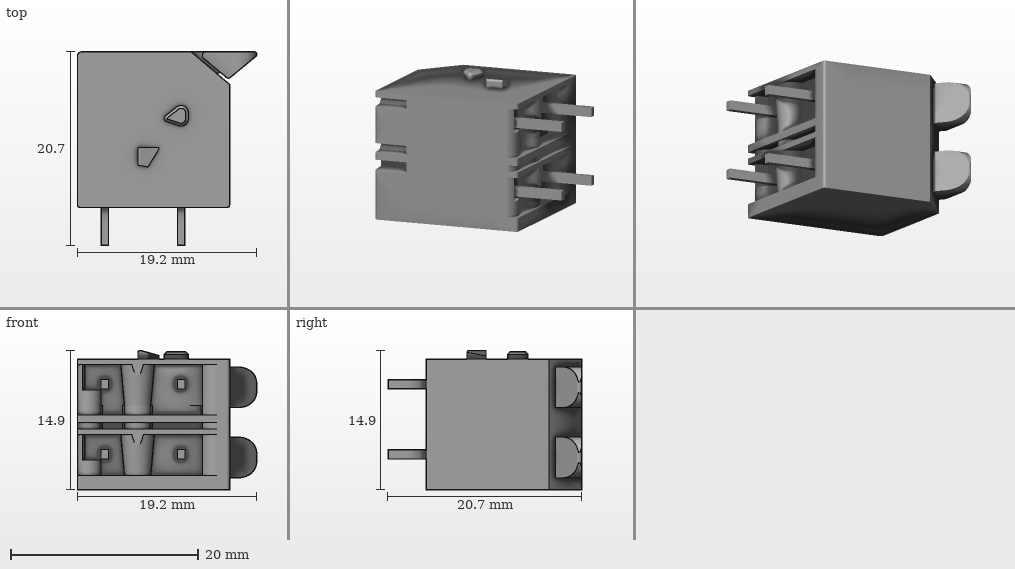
import math

import cadquery as cq


WIDTH = 16.3
DEPTH = 16.65
HEIGHT = 13.97
PITCH = 7.5
FRONT_RADIUS = 0.3
BACK_RADIUS = 0.5
BEVEL_X = 4.15
BEVEL_Y = 3.5

RECESS_DEPTH = 2.06
RECESS_RIGHT = 14.87
RECESS_BOTTOM = 1.51
RECESS_TOP = 5.9
DIVIDER_BOTTOM = 7.2
DIVIDER_TOP = 8.0
LOW_ZONE_BOTTOM = 6.5
LOW_ZONE_TOP = RECESS_BOTTOM + PITCH

COVE_START = 12.11
COVE_RADIUS = 1.27
WALL_X = 13.23

COLUMN_X = 6.45
COLUMN_Y = 1.7
COLUMN_BOTTOM_RADIUS = 1.42
COLUMN_TOP_RADIUS = 1.81
COLUMN_FOOT_WIDTH = 3.23

POST_X = 1.225
POST_Y = 1.795
POST_RADIUS = 1.325
POST_HEIGHT = 1.68
POST_FOOT_RIGHT = 2.7
STUB_FRONT_X = 0.58
STUB_BACK_X = 0.84

PIN_WIDTH = 0.8
PIN_HEIGHT = 1.0
PIN_LENGTH = 4.05
PIN_EMBED = 1.0
PIN_XS = (2.95, 11.1)
PIN_Z = 3.78

NOTCH_LENGTH = 3.77
NOTCH_DEPTH = 2.0
NOTCH_PITCH = 5.0
NOTCH_BOTTOM = 7.27
WIDE_NOTCH_BOTTOM = 5.33
STEPPED_NOTCH_PROFILE = (
    (0, 0),
    (1.5, 0.09),
    (1.7, 0.32),
    (1.8, 0.48),
    (NOTCH_DEPTH, 0.48),
    (NOTCH_DEPTH, 0.98),
    (0, 1.08),
)
WIDE_NOTCH_PROFILE = (
    (0, 0),
    (NOTCH_DEPTH, 0.15),
    (NOTCH_DEPTH, 0.98),
    (0, 1.21),
)

LEVER_LEFT = 13.38
LEVER_RIGHT = 19.2
LEVER_REACH = 2.84
LEVER_BOTTOM = 1.27
LEVER_HEIGHT = 4.36
LEVER_CORNER_X = 16.15
LEVER_LEFT_RADIUS = 0.4
LEVER_BOTTOM_RADIUS = 0.3
LEVER_TIP_RADIUS = 0.28
LEVER_ROUND_START = 17.18
LEVER_ROUND_MID = 18.28
LEVER_ROUND_DROP = 0.27
LEVER_TIP_HALF_HEIGHT = 0.4
BRIDGE_REACH = 2.3
BRIDGE_RIGHT = 15.38
BRIDGE_OVERLAP = 1.0
BRIDGE_STEP = 0.2

WEDGE_LEFT = 6.49
WEDGE_RIGHT = 8.85
WEDGE_BACK = 6.4
WEDGE_FRONT = 4.33
WEDGE_TIP_X = 7.55
WEDGE_FRONT_SLANT = 0.2
WEDGE_LEFT_HEIGHT = 1.01
WEDGE_RIGHT_HEIGHT = 0.35
WEDGE_EDGE_RADIUS = 0.25
WEDGE_CORNER_RADIUS = 0.12
DROP_HEIGHT = 0.8
DROP_CHAMFER = 0.3
DROP_CIRCLES = (
    (9.64, 9.51, 0.35),
    (11.1, 10.12, 0.78),
    (11.1, 9.48, 0.78),
)

POLE_OFFSETS = (0.0, PITCH)


def block(x0, x1, y0, y1, z0, z1):
    """Axis-aligned box between the given limits."""
    return cq.Workplane("XY").box(x1 - x0, y1 - y0, z1 - z0, centered=False).translate((x0, y0, z0))


def prism(outline, z0, z1):
    """Closed XY outline raised from z0 to z1."""
    return outline.extrude(z1 - z0).translate((0, 0, z0))


def circle_point(center_x, center_y, radius, angle):
    return (center_x + radius * math.cos(angle), center_y + radius * math.sin(angle))


def belt_outline(circles):
    """Outline of a belt pulled tight around circles that are listed clockwise."""
    count = len(circles)
    normals = []
    for i in range(count):
        x0, y0, r0 = circles[i]
        x1, y1, r1 = circles[(i + 1) % count]
        heading = math.atan2(y1 - y0, x1 - x0)
        normals.append(heading + math.acos((r0 - r1) / math.hypot(x1 - x0, y1 - y0)))
    outline = cq.Workplane("XY").moveTo(*circle_point(*circles[0], normals[0]))
    for i in range(count):
        following = circles[(i + 1) % count]
        arrive = normals[i]
        leave = normals[(i + 1) % count]
        turn = (arrive - leave) % (2 * math.pi)
        outline = outline.lineTo(*circle_point(*following, arrive))
        outline = outline.threePointArc(
            circle_point(*following, arrive - turn / 2), circle_point(*following, leave)
        )
    return outline.close()


def housing():
    body = (
        cq.Workplane("XY")
        .polyline([
            (0, 0),
            (WIDTH, 0),
            (WIDTH, DEPTH - BEVEL_Y),
            (WIDTH - BEVEL_X, DEPTH),
            (0, DEPTH),
        ])
        .close()
        .extrude(HEIGHT)
    )
    body = body.edges("|Z and <Y").fillet(FRONT_RADIUS)
    return body.edges(cq.selectors.NearestToPointSelector((0, DEPTH, HEIGHT / 2))).fillet(BACK_RADIUS)


def recess_outline():
    """Plan of the recess: flat floor, then a cove turning into a rounded lip on the right."""
    cove_end_x = COVE_START + COVE_RADIUS
    cove_end_y = RECESS_DEPTH - COVE_RADIUS
    lip_run = RECESS_RIGHT - cove_end_x
    lip_radius = (lip_run**2 + cove_end_y**2) / (2 * cove_end_y)
    half_lip_angle = math.asin(lip_run / lip_radius) / 2
    lip_mid = (
        RECESS_RIGHT - lip_radius * math.sin(half_lip_angle),
        lip_radius * (1 - math.cos(half_lip_angle)),
    )
    cove_mid = circle_point(COVE_START, cove_end_y, COVE_RADIUS, math.pi / 4)
    return (
        cq.Workplane("XY")
        .moveTo(0, 0)
        .lineTo(0, RECESS_DEPTH)
        .lineTo(COVE_START, RECESS_DEPTH)
        .threePointArc(cove_mid, (cove_end_x, cove_end_y))
        .threePointArc(lip_mid, (RECESS_RIGHT, 0))
        .close()
    )


def post_front(x):
    """Y of the front of the round post at the given X."""
    return POST_Y - math.sqrt(POST_RADIUS**2 - (x - POST_X) ** 2)


def post(z0, z1):
    """Round post joined to the recess floor."""
    height = z1 - z0
    cylinder = cq.Workplane("XY").circle(POST_RADIUS).extrude(height).translate((POST_X, POST_Y, z0))
    web = block(0, POST_X + POST_RADIUS, POST_Y, RECESS_DEPTH, z0, z1)
    side_fill = block(0, POST_X, post_front(0), RECESS_DEPTH, z0, z1)
    return cylinder.union(web).union(side_fill)


def post_stub(z0, z1):
    """Part of the round post that continues upward as the side wall of the recess."""
    plan = (
        cq.Workplane("XY")
        .polyline([
            (0, 0),
            (STUB_FRONT_X, 0),
            (STUB_FRONT_X, post_front(STUB_FRONT_X)),
            (STUB_BACK_X, RECESS_DEPTH),
            (0, RECESS_DEPTH),
        ])
        .close()
    )
    return prism(plan, z0, z1).intersect(post(z0, z1))


def recess(offset):
    """Space removed in front of one pole, leaving its column and post."""
    bottom = RECESS_BOTTOM + offset
    top = RECESS_TOP + offset
    post_top = bottom + POST_HEIGHT
    column = cq.Workplane("XY").add(
        cq.Solid.makeCone(
            COLUMN_BOTTOM_RADIUS, COLUMN_TOP_RADIUS, top - bottom, pnt=cq.Vector(COLUMN_X, COLUMN_Y, bottom)
        )
    )
    return (
        prism(recess_outline(), bottom, top)
        .cut(column)
        .cut(post(bottom, post_top))
        .cut(post_stub(post_top, top))
    )


def low_zone():
    """Extension of the upper recess down to the lower pole, crossed by the divider shelf."""
    z0 = LOW_ZONE_BOTTOM
    z1 = LOW_ZONE_TOP
    column = (
        cq.Workplane("XY").circle(COLUMN_BOTTOM_RADIUS).extrude(z1 - z0).translate((COLUMN_X, COLUMN_Y, z0))
    )
    half_foot = COLUMN_FOOT_WIDTH / 2
    column_foot = block(COLUMN_X - half_foot, COLUMN_X + half_foot, COLUMN_Y, RECESS_DEPTH, z0, z1)
    post_foot = block(POST_X, POST_FOOT_RIGHT, POST_Y, RECESS_DEPTH, z0, z1)
    lip_depth = RECESS_DEPTH - COVE_RADIUS
    return (
        prism(recess_outline(), z0, z1)
        .union(block(COVE_START, WALL_X, lip_depth, RECESS_DEPTH, DIVIDER_TOP, z1))
        .cut(column)
        .cut(column_foot)
        .cut(post(z0, z1))
        .cut(post_foot)
        .cut(block(0, WIDTH, 0, RECESS_DEPTH, DIVIDER_BOTTOM, DIVIDER_TOP))
    )


def pins(offset):
    bottom = PIN_Z + offset - PIN_HEIGHT / 2
    pair = cq.Workplane("XY")
    for x in PIN_XS:
        left = x - PIN_WIDTH / 2
        pair = pair.union(
            block(left, left + PIN_WIDTH, -PIN_LENGTH, RECESS_DEPTH + PIN_EMBED, bottom, bottom + PIN_HEIGHT)
        )
    return pair


def notch(profile, bottom):
    """Notch with the given (depth, height) profile, cut from the back face along the -X side."""
    points = [(depth, bottom + height) for depth, height in profile]
    return cq.Workplane("XZ", origin=(0, DEPTH, 0)).polyline(points).close().extrude(NOTCH_LENGTH)


def notches():
    return (
        notch(STEPPED_NOTCH_PROFILE, NOTCH_BOTTOM)
        .union(notch(STEPPED_NOTCH_PROFILE, NOTCH_BOTTOM + NOTCH_PITCH))
        .union(notch(WIDE_NOTCH_PROFILE, WIDE_NOTCH_BOTTOM))
    )


def lever_plan():
    """Triangular plan of the lever with three rounded corners."""
    left_center = (LEVER_LEFT + LEVER_LEFT_RADIUS, DEPTH - LEVER_LEFT_RADIUS, LEVER_LEFT_RADIUS)
    bottom_center = (LEVER_CORNER_X, DEPTH - LEVER_REACH + LEVER_BOTTOM_RADIUS, LEVER_BOTTOM_RADIUS)
    tip_center = (LEVER_RIGHT - LEVER_TIP_RADIUS, DEPTH - LEVER_TIP_RADIUS, LEVER_TIP_RADIUS)
    return belt_outline((left_center, tip_center, bottom_center))


def lever_side():
    """Elevation of the lever, centred on Z = 0, rounded towards the tip."""
    half = LEVER_HEIGHT / 2
    tip_point = (LEVER_RIGHT, LEVER_TIP_HALF_HEIGHT)
    upper_mid = (LEVER_ROUND_MID, half - LEVER_ROUND_DROP)
    return (
        cq.Workplane("XZ", origin=(0, DEPTH, 0))
        .moveTo(LEVER_LEFT, 0)
        .lineTo(LEVER_LEFT, half)
        .lineTo(LEVER_ROUND_START, half)
        .tangentArcPoint(upper_mid, relative=False)
        .tangentArcPoint(tip_point, relative=False)
        .lineTo(LEVER_RIGHT, 0)
        .mirrorX()
    )


def lever(offset):
    half = LEVER_HEIGHT / 2
    plate = prism(lever_plan(), -half, half).intersect(lever_side().extrude(LEVER_REACH))
    bridge_half = half - BRIDGE_STEP
    bridge_front = DEPTH - BRIDGE_REACH
    bridge_left = WIDTH - BEVEL_X - BRIDGE_OVERLAP
    bridge = (
        cq.Workplane("XY")
        .polyline([
            (bridge_left, DEPTH),
            (bridge_left + BRIDGE_REACH * BEVEL_X / BEVEL_Y, bridge_front),
            (BRIDGE_RIGHT, bridge_front),
            (LEVER_CORNER_X, DEPTH),
        ])
        .close()
    )
    joined = plate.union(prism(bridge, -bridge_half, bridge_half))
    return joined.translate((0, 0, LEVER_BOTTOM + half + offset))


def wedge_stud():
    """Stud with a sloping top and a rounded high edge."""
    plan = (
        cq.Workplane("XY")
        .polyline([
            (WEDGE_LEFT, WEDGE_BACK),
            (WEDGE_RIGHT, WEDGE_BACK),
            (WEDGE_TIP_X, WEDGE_FRONT),
            (WEDGE_LEFT, WEDGE_FRONT + WEDGE_FRONT_SLANT),
        ])
        .close()
        .extrude(WEDGE_LEFT_HEIGHT)
        .edges("|Z")
        .fillet(WEDGE_CORNER_RADIUS)
    )
    slope = (
        cq.Workplane("XZ", origin=(0, WEDGE_BACK, 0))
        .polyline([
            (WEDGE_LEFT, 0),
            (WEDGE_LEFT, WEDGE_LEFT_HEIGHT),
            (WEDGE_RIGHT, WEDGE_RIGHT_HEIGHT),
            (WEDGE_RIGHT, 0),
        ])
        .close()
        .extrude(WEDGE_BACK - WEDGE_FRONT)
        .edges("|Y and >Z")
        .fillet(WEDGE_EDGE_RADIUS)
    )
    return plan.intersect(slope).translate((0, 0, HEIGHT))


def drop_stud():
    """Drop-shaped stud with a chamfered top edge."""
    stud = prism(belt_outline(DROP_CIRCLES), HEIGHT, HEIGHT + DROP_HEIGHT)
    return stud.faces(">Z").chamfer(DROP_CHAMFER)


result = housing().cut(low_zone()).cut(notches())
for pole_offset in POLE_OFFSETS:
    result = result.cut(recess(pole_offset))
for pole_offset in POLE_OFFSETS:
    result = result.union(pins(pole_offset)).union(lever(pole_offset))
result = result.union(wedge_stud()).union(drop_stud())